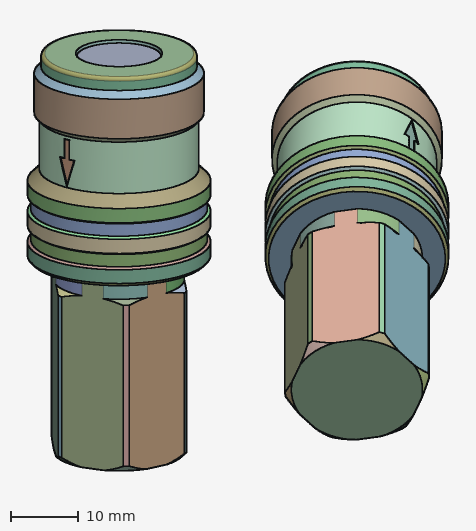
import cadquery as cq
import math

height = 61.5
collar_diameter = 27.0
groove_diameter = 26.0
head_diameter = 25.0
neck_diameter = 23.5
rim_diameter = 23.0

rim_bottom = 59.5
head_bottom = 52.35
neck_bottom = 43.6
sleeve_bottom = 29.75
rim_fillet = 0.55

rib_count = 3
rib_pitch = 4.75
rib_width = 2.2
collar_chamfer = 0.5
groove_slope_height = 0.3

recess_diameter = 12.7
recess_floor_diameter = 12.35
recess_depth = 0.4

arrow_length = 7.2
arrow_head_length = 4.2
arrow_head_width = 2.75
arrow_shaft_width = 1.05
arrow_depth = 0.2
down_arrow_angle = 283.3
down_arrow_height = 47.4
up_arrow_angle = 173.6
up_arrow_height = 47.65

hex_sides = 6
across_flats = 19.0
corner_diameter = 21.45
stem_diameter = 19.3
hex_top = 26.55
hex_top_chamfer_height = 0.6

collar_radius = collar_diameter / 2
groove_radius = groove_diameter / 2
head_radius = head_diameter / 2
neck_radius = neck_diameter / 2
rim_radius = rim_diameter / 2
stem_radius = stem_diameter / 2
corner_radius = corner_diameter / 2
head_top = rim_bottom - (head_radius - rim_radius)
neck_top = head_bottom - (head_radius - neck_radius)
collar_top = neck_bottom - (collar_radius - neck_radius)
half_side_angle = 180 / hex_sides
groove_width = rib_pitch - rib_width


def make_sleeve():
    """Turned sleeve with 45 degree cones between its diameters."""
    profile = (
        cq.Workplane("XZ")
        .moveTo(0, sleeve_bottom)
        .lineTo(collar_radius - collar_chamfer, sleeve_bottom)
        .lineTo(collar_radius, sleeve_bottom + collar_chamfer)
        .lineTo(collar_radius, collar_top)
        .lineTo(neck_radius, neck_bottom)
        .lineTo(neck_radius, neck_top)
        .lineTo(head_radius, head_bottom)
        .lineTo(head_radius, head_top)
        .lineTo(rim_radius, rim_bottom)
        .lineTo(rim_radius, height)
        .lineTo(0, height)
        .close()
    )
    return profile.revolve().faces(">Z").edges().fillet(rim_fillet)


def make_groove(top):
    """Ring that cuts one groove with sloping sides, starting at height top."""
    bottom = top - groove_width
    return (
        cq.Workplane("XZ")
        .moveTo(collar_radius, top)
        .lineTo(groove_radius, top - groove_slope_height)
        .lineTo(groove_radius, bottom + groove_slope_height)
        .lineTo(collar_radius, bottom)
        .close()
        .revolve(360, (0, 0, 0), (0, 1, 0))
    )


def make_recess():
    """Tapered plug for the recess in the top face."""
    floor = height - recess_depth
    return (
        cq.Workplane("XZ")
        .moveTo(0, floor)
        .lineTo(recess_floor_diameter / 2, floor)
        .lineTo(recess_diameter / 2, height)
        .lineTo(0, height)
        .close()
        .revolve()
    )


def make_arrow(angle, middle_height, direction):
    """Curved cutter for one arrow; direction is 1 for up and -1 for down."""
    tip = direction * arrow_length / 2
    head_base = tip - direction * arrow_head_length
    half_shaft = arrow_shaft_width / 2
    half_head = arrow_head_width / 2
    prism = (
        cq.Workplane("YZ")
        .moveTo(-half_shaft, -tip)
        .lineTo(-half_shaft, head_base)
        .lineTo(-half_head, head_base)
        .lineTo(0, tip)
        .lineTo(half_head, head_base)
        .lineTo(half_shaft, head_base)
        .lineTo(half_shaft, -tip)
        .close()
        .extrude(neck_radius)
    )
    skin = (
        cq.Workplane("XY")
        .circle(neck_radius)
        .circle(neck_radius - arrow_depth)
        .extrude(arrow_length / 2, both=True)
    )
    arrow = prism.intersect(skin)
    return arrow.rotate((0, 0, 0), (0, 0, 1), angle).translate((0, 0, middle_height))


def make_hex_body():
    """Hexagonal bar with flats facing +X and -X, turned to a stepped outline."""
    bar = (
        cq.Workplane("XY")
        .polygon(hex_sides, across_flats / math.cos(math.radians(half_side_angle)))
        .extrude(sleeve_bottom)
        .rotate((0, 0, 0), (0, 0, 1), half_side_angle)
    )
    turned = (
        cq.Workplane("XZ")
        .lineTo(stem_radius, 0)
        .lineTo(corner_radius, corner_radius - stem_radius)
        .lineTo(corner_radius, hex_top - hex_top_chamfer_height)
        .lineTo(stem_radius, hex_top)
        .lineTo(stem_radius, sleeve_bottom)
        .lineTo(0, sleeve_bottom)
        .close()
        .revolve()
    )
    return bar.intersect(turned)


sleeve = make_sleeve().cut(make_recess())
for index in range(rib_count - 1):
    rib_bottom = collar_top - rib_width - index * rib_pitch
    sleeve = sleeve.cut(make_groove(rib_bottom))
sleeve = sleeve.cut(make_arrow(down_arrow_angle, down_arrow_height, -1))
sleeve = sleeve.cut(make_arrow(up_arrow_angle, up_arrow_height, 1))

result = sleeve.union(make_hex_body())